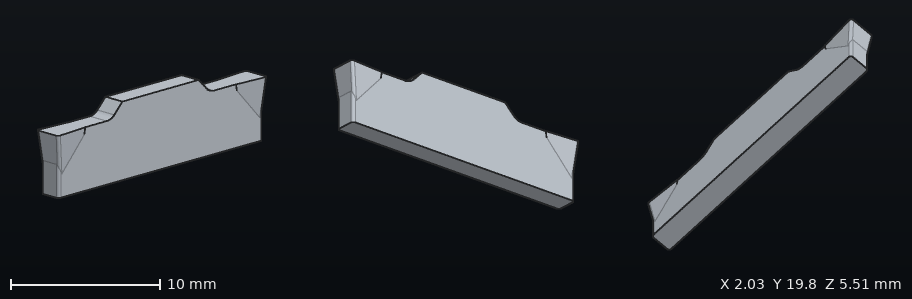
import cadquery as cq
import math

blade_width = 1.63
blade_half_length = 9.65
top_height = 5.51
shelf_height = 4.46
raised_half_length = 3.6
ramp_run = top_height - shelf_height
ramp_foot_radius = 1.0
corner_radius = 0.2

tip_half_length = 9.92
tip_half_width = 1.03
head_back = 7.14
head_bottom = 1.19
back_taper = math.tan(math.radians(4.0))
side_taper = math.tan(math.radians(3.7))
front_relief = math.tan(math.radians(7.0))
rear_relief = math.tan(math.radians(9.0))


def make_blade():
    ramp_foot = raised_half_length + ramp_run
    profile = [
        (-blade_half_length, 0),
        (blade_half_length, 0),
        (blade_half_length, shelf_height),
        (ramp_foot, shelf_height),
        (raised_half_length, top_height),
        (-raised_half_length, top_height),
        (-ramp_foot, shelf_height),
        (-blade_half_length, shelf_height),
    ]
    blade = cq.Workplane("YZ").polyline(profile).close().extrude(blade_width / 2, both=True)
    for side in (-1, 1):
        foot = cq.NearestToPointSelector((0, side * ramp_foot, shelf_height))
        blade = blade.edges("|X").edges(foot).fillet(ramp_foot_radius)
    return blade.edges("|Z").fillet(corner_radius)


def head_section(depth):
    """Trapezoid corners of the +Y head at a depth below the shelf."""
    front = tip_half_length - depth * front_relief
    back = head_back + depth * rear_relief

    def half_width(y):
        return tip_half_width - (tip_half_length - y) * back_taper - depth * side_taper

    return [
        (-half_width(back), back),
        (half_width(back), back),
        (half_width(front), front),
        (-half_width(front), front),
    ]


def make_head():
    """Head at the +Y end, with rounded front corners."""
    depth = shelf_height - head_bottom
    head = (
        cq.Workplane("XY", origin=(0, 0, shelf_height))
        .polyline(head_section(0))
        .close()
        .workplane(offset=-depth)
        .polyline(head_section(depth))
        .close()
        .loft(ruled=True, combine=True)
    )
    front_corners = head.faces(">Y").edges("not #Z").edges("not |X")
    return front_corners.fillet(corner_radius)


head = make_head()
result = make_blade().union(head).union(head.mirror("XZ"))